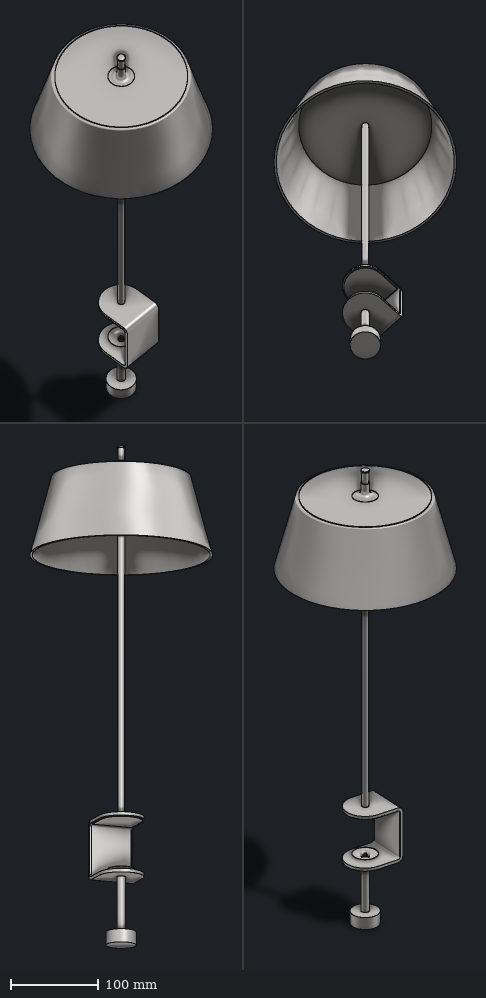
import cadquery as cq


rod_diameter = 8.0
screw_diameter = 10.0
collar_diameter = screw_diameter

knob_diameter = 35.0
knob_height = 16.0

bracket_bottom = 80.5
bracket_top = 151.5
bracket_back = 34.5
bracket_width = 53.0
bracket_thickness = 4.0
bend_inner_radius = 3.0
bend_outer_radius = bend_inner_radius + bracket_thickness
end_radius = bracket_width / 2
back_chamfer_depth = 0.5
back_chamfer_width = 2.0

pad_thickness = 1.0
pad_inset = 2.0

flare_diameter = 30.5
flare_rim = 0.3
flare_root_diameter = 26.5
flare_height = 7.5
trumpet_bend = 0.3

cup_top = 90.0
dish_depth = 4.5
dish_floor_diameter = 7.5
stud_diameter = 5.6
stud_tip_diameter = 3.0

shade_bottom = 459.0
shade_top = 551.5
shade_bottom_diameter = 210.0
shade_top_diameter = 160.0
shade_wall = 3.0
shade_edge_radius = 2.0
lid_diameter = 152.5
lid_rise = 0.9
lid_thickness = 3.0
lid_top = shade_top + lid_rise

collar_top = 570.0
finial_rim_height = 2.5
finial_face_diameter = 5.6
finial_crown = 0.5
finial_top = 587.0


def cylinder(diameter, bottom, top):
    return cq.Workplane("XY").workplane(offset=bottom).circle(diameter / 2).extrude(top - bottom)


def jaw_outline(inset, back):
    """Plan outline of a jaw: straight at the back, half round at the front."""
    radius = end_radius - inset
    return (
        cq.Workplane("XY")
        .moveTo(back, -radius)
        .lineTo(0, -radius)
        .threePointArc((-radius, 0), (0, radius))
        .lineTo(back, radius)
        .close()
    )


def make_back_chamfer():
    """Wedge taken off one upright edge of the back plate's inner face, between the two bends."""
    inner_face = bracket_back - bracket_thickness
    side = bracket_width / 2
    return (
        cq.Workplane("XY")
        .workplane(offset=bracket_bottom + bend_outer_radius)
        .moveTo(inner_face, side - back_chamfer_width)
        .lineTo(inner_face, side)
        .lineTo(inner_face + back_chamfer_depth, side)
        .close()
        .extrude(bracket_top - bracket_bottom - 2 * bend_outer_radius)
    )


def bent_block(front, back, width, height, bend_radius):
    """Block spanning the given X range, centred on Y and Z, with its two back edges rounded."""
    return (
        cq.Workplane("XY")
        .box(back - front, width, height, centered=(False, True, True))
        .translate((front, 0, 0))
        .edges("|Y and >X")
        .fillet(bend_radius)
    )


def make_bracket():
    height = bracket_top - bracket_bottom
    middle = (bracket_top + bracket_bottom) / 2
    inner_back = bracket_back - bracket_thickness
    inner_height = height - 2 * bracket_thickness
    outer = bent_block(-end_radius, bracket_back, bracket_width, height, bend_outer_radius)
    inner = bent_block(-end_radius, inner_back, bracket_width, inner_height, bend_inner_radius)
    strip = outer.cut(inner).translate((0, 0, middle))
    bracket = strip.intersect(jaw_outline(0, bracket_back).extrude(bracket_top))
    return bracket.cut(make_back_chamfer()).cut(make_back_chamfer().mirror("XZ"))


def make_pad():
    pad_top = bracket_top - bracket_thickness
    outline = jaw_outline(pad_inset, bracket_back - bend_outer_radius)
    return outline.extrude(-pad_thickness).translate((0, 0, pad_top))


def make_trumpet(wide_diameter, narrow_diameter, height):
    """Solid of revolution, widest at Z = 0, narrowing upward along a hollow curve."""
    wide = wide_diameter / 2
    narrow = narrow_diameter / 2
    bend = (narrow + trumpet_bend * (wide - narrow), trumpet_bend * height)
    return (
        cq.Workplane("XZ")
        .lineTo(wide, 0)
        .threePointArc(bend, (narrow, height))
        .lineTo(0, height)
        .close()
        .revolve(360, (0, 0, 0), (0, 1, 0))
    )


def make_flare():
    """Trumpet on a thin round rim, with the underside of the rim at Z = 0."""
    rim = cylinder(flare_diameter, 0, flare_rim)
    trumpet = make_trumpet(flare_root_diameter, screw_diameter, flare_height - flare_rim)
    return rim.union(trumpet.translate((0, 0, flare_rim)))


def make_cup():
    """Flare turned rim up, with a dish in it and a stepped stud standing in the dish."""
    dish = make_trumpet(flare_root_diameter, dish_floor_diameter, dish_depth)
    stud = cylinder(stud_diameter, dish_depth / 2, dish_depth)
    stud_tip = cylinder(stud_tip_diameter, 0, dish_depth)
    cup = make_flare().cut(dish).union(stud).union(stud_tip)
    return cup.rotate((0, 0, 0), (1, 0, 0), 180).translate((0, 0, cup_top))


def make_shade():
    """Open-bottomed conical shell with a rounded top rim, closed by a slightly raised lid."""
    outside_bottom = shade_bottom_diameter / 2
    inside_bottom = outside_bottom - shade_wall
    inside_top = lid_diameter / 2
    top_rim = cq.selectors.RadiusNthSelector(1)
    shell = (
        cq.Workplane("XZ")
        .polyline([
            (inside_bottom, shade_bottom),
            (outside_bottom, shade_bottom),
            (shade_top_diameter / 2, shade_top),
            (inside_top, shade_top),
            (inside_top, lid_top - lid_thickness),
        ])
        .close()
        .revolve(360, (0, 0, 0), (0, 1, 0))
        .edges(top_rim)
        .fillet(shade_edge_radius)
    )
    return shell.union(cylinder(lid_diameter, lid_top - lid_thickness, lid_top))


def make_finial():
    """Flared cap on the lid, carrying a collar, a thinner neck and a crowned end rim."""
    flare = make_flare().translate((0, 0, lid_top))
    collar = cylinder(collar_diameter, lid_top, collar_top)
    neck = cylinder(rod_diameter, collar_top, finial_top - finial_rim_height)
    rim = (
        cylinder(collar_diameter, finial_top - finial_rim_height, finial_top)
        .faces(">Z")
        .chamfer(finial_crown, (collar_diameter - finial_face_diameter) / 2)
    )
    return flare.union(collar).union(neck).union(rim)


knob = cylinder(knob_diameter, 0, knob_height)
screw = cylinder(screw_diameter, knob_height, cup_top - flare_height)
rod = cylinder(rod_diameter, bracket_top - bracket_thickness, lid_top)

result = (
    make_bracket()
    .union(make_pad())
    .union(knob)
    .union(screw)
    .union(make_cup())
    .union(rod)
    .union(make_shade())
    .union(make_finial())
)